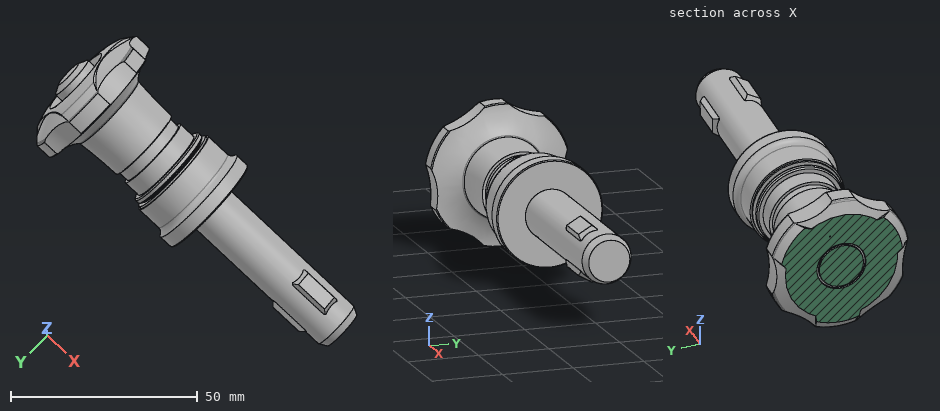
import cadquery as cq
import math


TOTAL_LENGTH = 101.15

BUTTON_TIP_RADIUS = 3.87
BUTTON_RADIUS = 6.35
BUTTON_CHAMFER_LENGTH = 1.25

KNOB_RADIUS = 20.0
KNOB_FRONT_X = 2.75
KNOB_RIM_FRONT_X = 6.4
KNOB_RIM_BACK_X = 11.5
KNOB_BACK_END_X = 14.6
KNOB_BACK_END_RADIUS = 11.8
KNOB_TURN = 3.5
RIM_CHAMFER = 0.3
DISH_RADIUS = 10.05
DISH_FLOOR_RADIUS = 6.9
DISH_DEPTH = 1.5
BUTTON_GAP_DEPTH = 1.0
DOME_EDGE_RADIUS = 17.0
DOME_EDGE_X = 4.3
DOME_MID_RADIUS = 14.0
DOME_MID_X = 3.3
BACK_MID_RADIUS = 15.2
BACK_MID_X = 12.5

SEGMENT_COUNT = 3
SEGMENT_PITCH = 360.0 / SEGMENT_COUNT
SCALLOP_OFFSET = 26.5
SCALLOP_HALF_ANGLE = 17.3
SCALLOP_FLOOR_RADIUS = 18.1
SEGMENT_INNER_RADIUS = 11.8
SEGMENT_START_X = 3.0

BARREL_START_X = 14.95
BARREL_START_RADIUS = 11.5
BARREL_MID_RADIUS = 11.0
BARREL_END_RADIUS = 10.8
BARREL_END_X = 27.9
NECK_RADIUS = 9.95
NECK_END_X = 31.2
COLLAR_RADIUS = 10.8
RING_START_X = 36.15
RING_END_X = 37.95
RING_RADIUS = 12.4
RING_CHAMFER = 0.4
RING_GROOVE_RADIUS = 11.4
STEP_START_X = 38.3
STEP_RADIUS = 13.0
BODY_START_X = 38.9
BODY_RADIUS = 13.5
BODY_END_X = 46.05
FLANGE_START_X = 48.1
FLANGE_RADIUS = 15.0
FLANGE_END_X = 52.2
FLANGE_CHAMFER = 0.3
FLARE_RADIUS = 2.3

SHANK_RADIUS = 6.95
TIP_CHAMFER_LENGTH = 2.2
TIP_RADIUS = 5.8
LATCH_COUNT = 3
LATCH_CENTRE_X = 87.95
LATCH_BASE_LENGTH = 12.8
LATCH_BASE_WIDTH = 5.7
LATCH_TOP_LENGTH = 9.6
LATCH_TOP_WIDTH = 4.4
LATCH_BASE_HEIGHT = 6.3
LATCH_TOP_HEIGHT = 7.9
LATCH_CORNER_RADIUS = 1.0


def polar(radius, degrees):
    """Point in the YZ plane, angle measured from +Y towards +Z."""
    angle = math.radians(degrees)
    return (radius * math.cos(angle), radius * math.sin(angle))


def revolved(outline):
    """Turn a closed XY outline about the pin axis."""
    return outline.close().revolve(360, (0, 0, 0), (1, 0, 0))


def make_turned_body():
    gap_floor_x = KNOB_FRONT_X + DISH_DEPTH + BUTTON_GAP_DEPTH
    outline = (
        cq.Workplane("XY")
        .moveTo(0, 0)
        .lineTo(0, BUTTON_TIP_RADIUS)
        .lineTo(BUTTON_CHAMFER_LENGTH, BUTTON_RADIUS)
        .lineTo(gap_floor_x, BUTTON_RADIUS)
        .lineTo(gap_floor_x, DISH_FLOOR_RADIUS)
        .lineTo(KNOB_FRONT_X + DISH_DEPTH, DISH_FLOOR_RADIUS)
        .lineTo(KNOB_FRONT_X, DISH_RADIUS)
        .threePointArc((DOME_MID_X, DOME_MID_RADIUS), (DOME_EDGE_X, DOME_EDGE_RADIUS))
        .lineTo(KNOB_RIM_FRONT_X, KNOB_RADIUS - RIM_CHAMFER)
        .lineTo(KNOB_RIM_FRONT_X + RIM_CHAMFER, KNOB_RADIUS)
        .lineTo(KNOB_RIM_BACK_X - RIM_CHAMFER, KNOB_RADIUS)
        .lineTo(KNOB_RIM_BACK_X, KNOB_RADIUS - RIM_CHAMFER)
        .threePointArc((BACK_MID_X, BACK_MID_RADIUS), (KNOB_BACK_END_X, KNOB_BACK_END_RADIUS))
        .lineTo(BARREL_START_X, BARREL_START_RADIUS)
        .threePointArc(
            ((BARREL_START_X + BARREL_END_X) / 2, BARREL_MID_RADIUS),
            (BARREL_END_X, BARREL_END_RADIUS),
        )
        .lineTo(BARREL_END_X, NECK_RADIUS)
        .lineTo(NECK_END_X, NECK_RADIUS)
        .lineTo(NECK_END_X, COLLAR_RADIUS)
        .lineTo(RING_START_X, COLLAR_RADIUS)
        .lineTo(RING_START_X, RING_RADIUS - RING_CHAMFER)
        .lineTo(RING_START_X + RING_CHAMFER, RING_RADIUS)
        .lineTo(RING_END_X - RING_CHAMFER, RING_RADIUS)
        .lineTo(RING_END_X, RING_RADIUS - RING_CHAMFER)
        .lineTo(RING_END_X, RING_GROOVE_RADIUS)
        .lineTo(STEP_START_X, RING_GROOVE_RADIUS)
        .lineTo(STEP_START_X, STEP_RADIUS)
        .lineTo(BODY_START_X, STEP_RADIUS)
        .lineTo(BODY_START_X, BODY_RADIUS)
        .lineTo(BODY_END_X, BODY_RADIUS)
        .radiusArc((FLANGE_START_X, FLANGE_RADIUS), -FLARE_RADIUS)
        .lineTo(FLANGE_END_X - FLANGE_CHAMFER, FLANGE_RADIUS)
        .lineTo(FLANGE_END_X, FLANGE_RADIUS - FLANGE_CHAMFER)
        .lineTo(FLANGE_END_X, SHANK_RADIUS)
        .lineTo(TOTAL_LENGTH - TIP_CHAMFER_LENGTH, SHANK_RADIUS)
        .lineTo(TOTAL_LENGTH, TIP_RADIUS)
        .lineTo(TOTAL_LENGTH, 0)
    )
    return revolved(outline)


def make_bowed_cutter(centre_angle, floor_radius, half_angle, length):
    """Cylinder along X that meets the knob rim at centre_angle +/- half_angle."""
    rim_distance, half_chord = polar(KNOB_RADIUS, half_angle)
    sagitta = rim_distance - floor_radius
    radius = (half_chord**2 + sagitta**2) / (2 * sagitta)
    centre = polar(floor_radius + radius, centre_angle)
    return cq.Workplane("YZ").center(*centre).circle(radius).extrude(length)


def make_scallop_cutter(centre_angle):
    """Concave flute through the full thickness of the knob rim."""
    return make_bowed_cutter(centre_angle, SCALLOP_FLOOR_RADIUS, SCALLOP_HALF_ANGLE, KNOB_BACK_END_X)


def make_segment_cutter(centre_angle):
    """Removes the dome outside an inward-bowed arc, down to a straight cone."""
    half_angle = SCALLOP_OFFSET + SCALLOP_HALF_ANGLE
    prism = make_bowed_cutter(centre_angle, SEGMENT_INNER_RADIUS, half_angle, KNOB_RIM_FRONT_X)
    slope = (KNOB_RIM_FRONT_X - SEGMENT_START_X) / (KNOB_RADIUS - SEGMENT_INNER_RADIUS)
    apex_x = SEGMENT_START_X - slope * SEGMENT_INNER_RADIUS
    cone = revolved(
        cq.Workplane("XY")
        .moveTo(apex_x, 0)
        .lineTo(KNOB_RIM_FRONT_X, KNOB_RADIUS)
        .lineTo(KNOB_RIM_FRONT_X, 0)
    )
    return prism.cut(cone)


def cut_knob(body):
    for index in range(SEGMENT_COUNT):
        centre = 90 + KNOB_TURN + index * SEGMENT_PITCH
        body = body.cut(make_segment_cutter(centre))
        for side in (-1, 1):
            body = body.cut(make_scallop_cutter(centre + side * SCALLOP_OFFSET))
    return body


def make_latch(angle):
    """Bar with sloped sides standing out of the shank, facing +Y before it is turned."""
    wedge = (
        cq.Workplane("XZ", origin=(LATCH_CENTRE_X, LATCH_BASE_HEIGHT, 0))
        .rect(LATCH_BASE_LENGTH, LATCH_BASE_WIDTH)
        .workplane(offset=LATCH_BASE_HEIGHT - LATCH_TOP_HEIGHT)
        .rect(LATCH_TOP_LENGTH, LATCH_TOP_WIDTH)
        .loft()
    )
    rounded_bar = (
        cq.Workplane("XZ", origin=(LATCH_CENTRE_X, 0, 0))
        .rect(LATCH_BASE_LENGTH, LATCH_BASE_WIDTH)
        .extrude(-LATCH_TOP_HEIGHT)
        .edges("|Y")
        .fillet(LATCH_CORNER_RADIUS)
    )
    return wedge.intersect(rounded_bar).rotate((0, 0, 0), (1, 0, 0), angle)


def add_latches(body):
    for index in range(LATCH_COUNT):
        body = body.union(make_latch(index * 360.0 / LATCH_COUNT))
    return body


result = add_latches(cut_knob(make_turned_body()))